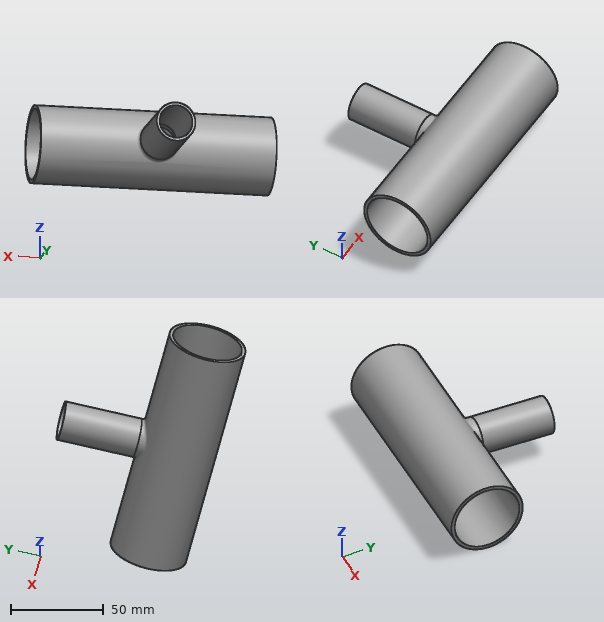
import cadquery as cq

main_length = 130.0
main_outer_diameter = 42.4
main_inner_diameter = 38.4

branch_outer_diameter = 21.3
branch_inner_diameter = 18.1
overall_width = 86.2

collar_height = 1.5
collar_fillet = 1.4

main_radius = main_outer_diameter / 2
joint_y = main_radius + collar_height
branch_end_y = overall_width - main_radius


def cylinder_along_y(diameter, start_y, end_y):
    """Solid cylinder on the Y axis between two Y positions."""
    start_plane = cq.Workplane("XZ", origin=(0, start_y, 0))
    return start_plane.circle(diameter / 2).extrude(start_y - end_y)


def cylinder_along_x(diameter):
    """Solid cylinder on the X axis, as long as the main tube."""
    end_plane = cq.Workplane("YZ", origin=(-main_length / 2, 0, 0))
    return end_plane.circle(diameter / 2).extrude(main_length)


def saddle_edge(body):
    """Curved edge where the collar leaves the outside of the main tube."""
    collar_zone = cq.selectors.BoxSelector(
        (-branch_outer_diameter, 0, -main_radius),
        (branch_outer_diameter, joint_y, main_radius),
    )
    return body.edges("not (%LINE or %CIRCLE)").edges(collar_zone)


def make_main_tube():
    """Main tube with a filleted collar and a side opening for the branch."""
    body = cylinder_along_x(main_outer_diameter)
    body = body.union(cylinder_along_y(branch_outer_diameter, 0, joint_y))
    body = saddle_edge(body).fillet(collar_fillet)
    body = body.cut(cylinder_along_x(main_inner_diameter))
    return body.cut(cylinder_along_y(branch_inner_diameter, 0, joint_y))


def make_branch_tube():
    """Plain tube standing on the flat end of the collar."""
    outside = cylinder_along_y(branch_outer_diameter, joint_y, branch_end_y)
    return outside.cut(cylinder_along_y(branch_inner_diameter, joint_y, branch_end_y))


main_tube = make_main_tube()
branch_tube = make_branch_tube()

result = cq.Compound.makeCompound([main_tube.val(), branch_tube.val()])